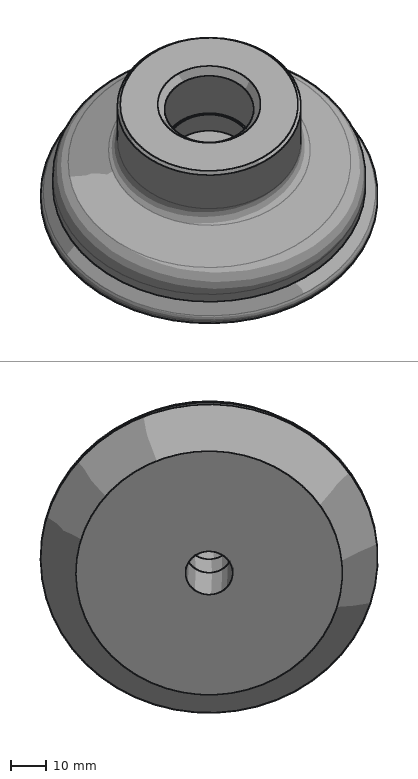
import cadquery as cq
import math

total_height = 50.0
outer_radius = 96.15 / 2
split_height = 15.5

boss_radius = 52.4 / 2
boss_chamfer = 0.9
skirt_radius = 89.2 / 2
skirt_top = 18.75
shoulder_round = 7.3
shoulder_slope = math.radians(24)
flare_outer_radius = 28.75
flare_arc_radius = 4.9

through_diameter = 13.5
bore_radius = 25.4 / 2
bore_mouth_radius = 29.3 / 2
bore_mouth_depth = 2.0
bore_step_height = 31.9
lower_bore_radius = 24.2 / 2
lower_bore_floor = 25.0

rim_round = 2.3
bottom_radius = 38.0


def arc_point(center, radius, angle):
    """Point (r, z) on a profile arc, at an angle from the radial direction."""
    return (center[0] + radius * math.cos(angle), center[1] + radius * math.sin(angle))


def revolve_profile(profile):
    """Turn a closed (r, z) profile about the Z axis."""
    return profile.close().revolve(360, (0, 0, 0), (0, 1, 0))


def cut_through_hole(body):
    """Cut the central hole that passes through both bodies."""
    hole = cq.Workplane("XY").circle(through_diameter / 2).extrude(total_height)
    return body.cut(hole)


def make_bore():
    """Bore with a countersunk mouth and a slightly narrower lower part."""
    mouth_bottom = total_height - bore_mouth_depth
    profile = (
        cq.Workplane("XZ")
        .moveTo(0, lower_bore_floor)
        .lineTo(lower_bore_radius, lower_bore_floor)
        .lineTo(lower_bore_radius, bore_step_height)
        .lineTo(bore_radius, bore_step_height)
        .lineTo(bore_radius, mouth_bottom)
        .lineTo(bore_mouth_radius, total_height)
        .lineTo(0, total_height)
    )
    return revolve_profile(profile)


def make_holder():
    round_center = (skirt_radius - shoulder_round, skirt_top)
    slope_normal = math.pi / 2 - shoulder_slope
    round_middle = arc_point(round_center, shoulder_round, slope_normal / 2)
    round_end = arc_point(round_center, shoulder_round, slope_normal)

    slope_rise = (round_end[0] - flare_outer_radius) * math.tan(shoulder_slope)
    flare_bottom = round_end[1] + slope_rise
    flare_width = flare_outer_radius - boss_radius
    flare_angle = math.acos(1 - flare_width / flare_arc_radius)
    flare_top = flare_bottom + flare_arc_radius * math.sin(flare_angle)
    flare_center = (boss_radius + flare_arc_radius, flare_top)
    flare_middle = arc_point(flare_center, flare_arc_radius, math.pi + flare_angle / 2)

    profile = (
        cq.Workplane("XZ")
        .moveTo(0, split_height)
        .lineTo(skirt_radius, split_height)
        .lineTo(skirt_radius, skirt_top)
        .threePointArc(round_middle, round_end)
        .lineTo(flare_outer_radius, flare_bottom)
        .threePointArc(flare_middle, (boss_radius, flare_top))
        .lineTo(boss_radius, total_height - boss_chamfer)
        .lineTo(boss_radius - boss_chamfer, total_height)
        .lineTo(0, total_height)
    )
    return cut_through_hole(revolve_profile(profile).cut(make_bore()))


def make_ring():
    rim_edge_height = outer_radius - bottom_radius

    cone_angle = math.pi / 4
    upper_corner_height = split_height - (outer_radius - skirt_radius)
    arc_start_height = upper_corner_height - rim_round * math.tan(cone_angle / 2)
    rim_center = (outer_radius - rim_round, arc_start_height)
    rim_middle = arc_point(rim_center, rim_round, cone_angle / 2)
    rim_end = arc_point(rim_center, rim_round, cone_angle)

    profile = (
        cq.Workplane("XZ")
        .moveTo(0, 0)
        .lineTo(bottom_radius, 0)
        .lineTo(outer_radius, rim_edge_height)
        .lineTo(outer_radius, arc_start_height)
        .threePointArc(rim_middle, rim_end)
        .lineTo(skirt_radius, split_height)
        .lineTo(0, split_height)
    )
    return cut_through_hole(revolve_profile(profile))


holder = make_holder()
ring = make_ring()

result = cq.Compound.makeCompound([holder.val(), ring.val()])